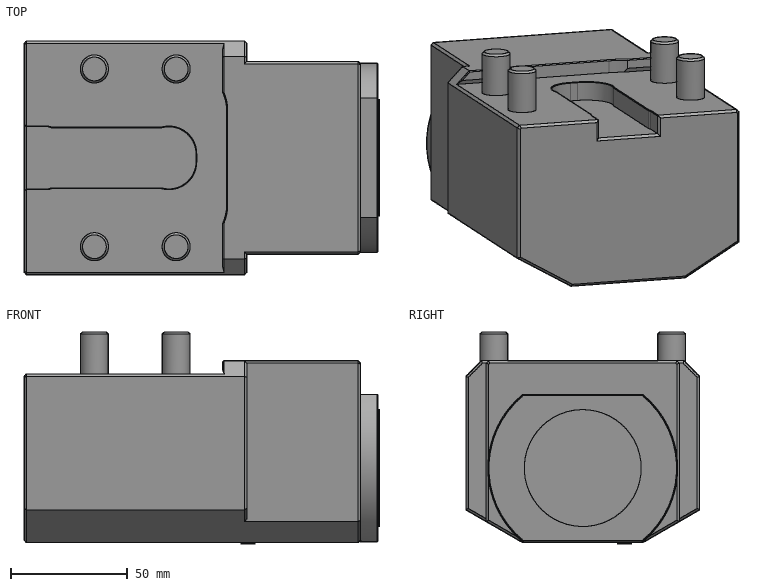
import cadquery as cq
import math

BOTTOM_Z = 0.5
DECK_Z = 72.7
TOP_Z = 78.3
PIN_TOP_Z = 90.6

FRONT_WIDTH = 100.0
FRONT_LENGTH = 95.3
REAR_WIDTH = 82.5
REAR_END_X = 144.0
BOTTOM_FLAT_WIDTH = 51.4
BOTTOM_SLOPE_ANGLE = 30.0
EDGE_CHAMFER = 1.0
SHOULDER_CHAMFER = TOP_Z - DECK_Z + EDGE_CHAMFER

STEP_X = 85.0
STEP_EDGE_CHAMFER = 0.5
UNDERCUT_DEPTH = 0.6
UNDERCUT_HEIGHT = 1.7
RELIEF_DEPTH = 1.7
RELIEF_FLAT_WIDTH = 40.5
RELIEF_RADIUS = 18.8

SLOT_WIDTH = 25.7
SLOT_MOUTH_WIDTH = 26.6
SLOT_MOUTH_LENGTH = 10.3
SLOT_MOUTH_TAPER = 1.5
SLOT_END_X = 73.5
SLOT_END_FLAT = 3.3
SLOT_DEPTH = 8.0
SLOT_EDGE_CHAMFER = 0.3

PIN_DIAMETER = 12.0
PIN_CHAMFER = 0.9
PIN_FIRST_X = 30.1
PIN_SPACING_X = 35.0
PIN_SPACING_Y = 76.0

COVER_DIAMETER = 81.2
COVER_HEIGHT = 63.1
COVER_CENTER_Z = 32.4
COVER_END_X = 151.4
COVER_CHAMFER = 0.5
CAP_DIAMETER = 50.0
CAP_END_X = 152.0

PAD_DIAMETER = 6.0
PAD_X = 95.8
PAD_Y = 17.8

SELECTION_MARGIN = 0.2


def housing_block(width, top_chamfer, start_x, end_x):
    """Prism along X with bevelled upper corners and a sloped underside."""
    half = width / 2
    flat_half = BOTTOM_FLAT_WIDTH / 2
    slope_rise = (half - flat_half) * math.tan(math.radians(BOTTOM_SLOPE_ANGLE))
    side_bottom_z = BOTTOM_Z + slope_rise
    return (
        cq.Workplane("YZ", origin=(start_x, 0, 0))
        .moveTo(-flat_half, BOTTOM_Z)
        .lineTo(flat_half, BOTTOM_Z)
        .lineTo(half, side_bottom_z)
        .lineTo(half, TOP_Z - top_chamfer)
        .lineTo(half - top_chamfer, TOP_Z)
        .lineTo(-half + top_chamfer, TOP_Z)
        .lineTo(-half, TOP_Z - top_chamfer)
        .lineTo(-half, side_bottom_z)
        .close()
        .extrude(end_x - start_x)
    )


def deck_clearance():
    """Space above the deck, ending at the step with its shallow central relief."""
    half = FRONT_WIDTH / 2
    flat_half = RELIEF_FLAT_WIDTH / 2
    relief_x = STEP_X + RELIEF_DEPTH

    corner_angle = math.acos(1 - RELIEF_DEPTH / RELIEF_RADIUS)
    corner_y = flat_half + RELIEF_RADIUS * math.sin(corner_angle)
    mid_x = relief_x - RELIEF_RADIUS * (1 - math.cos(corner_angle / 2))
    mid_y = flat_half + RELIEF_RADIUS * math.sin(corner_angle / 2)
    return (
        cq.Workplane("XY", origin=(0, 0, DECK_Z))
        .moveTo(0, -half)
        .lineTo(STEP_X, -half)
        .lineTo(STEP_X, -corner_y)
        .threePointArc((mid_x, -mid_y), (relief_x, -flat_half))
        .lineTo(relief_x, flat_half)
        .threePointArc((mid_x, mid_y), (STEP_X, corner_y))
        .lineTo(STEP_X, half)
        .lineTo(0, half)
        .close()
        .extrude(TOP_Z - DECK_Z)
    )


def step_undercut():
    """Sloped undercut along the foot of the step."""
    return (
        cq.Workplane("XZ", origin=(0, FRONT_WIDTH / 2, 0))
        .moveTo(STEP_X, DECK_Z)
        .lineTo(STEP_X + UNDERCUT_DEPTH, DECK_Z)
        .lineTo(STEP_X, DECK_Z + UNDERCUT_HEIGHT)
        .close()
        .extrude(FRONT_WIDTH)
    )


def slot():
    """Slot open at the front face, with a wider mouth and a bulged round end."""
    half = SLOT_WIDTH / 2
    mouth_half = SLOT_MOUTH_WIDTH / 2
    end_flat_half = SLOT_END_FLAT / 2
    end_radius = mouth_half - end_flat_half
    arc_center_x = SLOT_END_X - end_radius
    arc_start_x = arc_center_x - math.sqrt(end_radius**2 - (half - end_flat_half) ** 2)
    taper_end_x = SLOT_MOUTH_LENGTH + SLOT_MOUTH_TAPER
    outline = (
        cq.Workplane("XY", origin=(0, 0, DECK_Z - SLOT_DEPTH))
        .moveTo(0, -mouth_half)
        .lineTo(SLOT_MOUTH_LENGTH, -mouth_half)
        .lineTo(taper_end_x, -half)
        .lineTo(arc_start_x, -half)
        .threePointArc((arc_center_x, -mouth_half), (SLOT_END_X, -end_flat_half))
        .lineTo(SLOT_END_X, end_flat_half)
        .threePointArc((arc_center_x, mouth_half), (arc_start_x, half))
        .lineTo(taper_end_x, half)
        .lineTo(SLOT_MOUTH_LENGTH, mouth_half)
        .lineTo(0, mouth_half)
        .close()
    )
    return outline.extrude(SLOT_DEPTH)


def front_block():
    block = housing_block(FRONT_WIDTH, SHOULDER_CHAMFER, 0, FRONT_LENGTH)
    block = block.faces(">X").chamfer(EDGE_CHAMFER)
    block = block.cut(deck_clearance())

    step_edges = cq.selectors.BoxSelector(
        (STEP_X - SELECTION_MARGIN, -FRONT_WIDTH, DECK_Z + SELECTION_MARGIN),
        (STEP_X + RELIEF_DEPTH + SELECTION_MARGIN, FRONT_WIDTH, TOP_Z + SELECTION_MARGIN),
    )
    block = block.edges(step_edges).edges("not |Z").chamfer(STEP_EDGE_CHAMFER)
    block = block.cut(step_undercut())

    block = block.cut(slot())
    block = block.faces("<X").chamfer(EDGE_CHAMFER)
    slot_rim = cq.selectors.BoxSelector(
        (EDGE_CHAMFER + SELECTION_MARGIN, -SLOT_MOUTH_WIDTH, DECK_Z - SELECTION_MARGIN),
        (SLOT_END_X + SELECTION_MARGIN, SLOT_MOUTH_WIDTH, DECK_Z + SELECTION_MARGIN),
    )
    return block.edges(slot_rim).chamfer(SLOT_EDGE_CHAMFER)


def rear_block():
    start_x = FRONT_LENGTH - EDGE_CHAMFER
    block = housing_block(REAR_WIDTH, EDGE_CHAMFER, start_x, REAR_END_X)
    return block.faces(">X").chamfer(EDGE_CHAMFER)


def pins():
    length = PIN_TOP_Z - DECK_Z
    center_x = PIN_FIRST_X + PIN_SPACING_X / 2
    return (
        cq.Workplane("XY", origin=(center_x, 0, DECK_Z))
        .rarray(PIN_SPACING_X, PIN_SPACING_Y, 2, 2)
        .circle(PIN_DIAMETER / 2)
        .extrude(length)
        .faces(">Z")
        .chamfer(PIN_CHAMFER)
    )


def cover():
    """Round cover with flats above and below, topped by a thin round cap."""
    rear_face = cq.Workplane("YZ", origin=(REAR_END_X, 0, COVER_CENTER_Z))
    length = COVER_END_X - REAR_END_X
    flats = rear_face.rect(COVER_DIAMETER, COVER_HEIGHT).extrude(length)
    disc = rear_face.circle(COVER_DIAMETER / 2).extrude(length).intersect(flats)
    disc = disc.faces(">X").chamfer(COVER_CHAMFER)
    cap = rear_face.circle(CAP_DIAMETER / 2).extrude(CAP_END_X - REAR_END_X)
    return disc.union(cap)


def foot_pad():
    return (
        cq.Workplane("XY", origin=(PAD_X, PAD_Y, 0))
        .circle(PAD_DIAMETER / 2)
        .extrude(BOTTOM_Z)
    )


result = front_block().union(rear_block()).union(pins()).union(cover()).union(foot_pad())